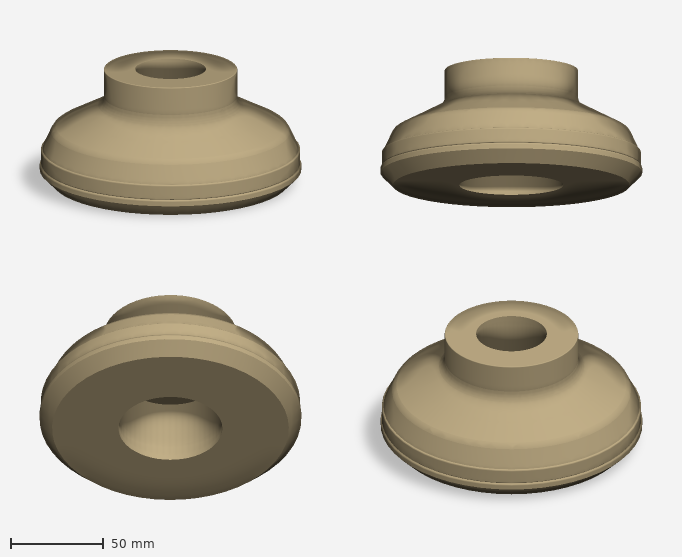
import cadquery as cq

total_height = 63.1
bore_radius = 38.1 / 2
bore_depth = 25.8
cavity_radius = 56.0 / 2

hub_radius = 72.0 / 2
hub_base_z = 44.5
hub_root_fillet = 5.6
hub_top_fillet = 0.4
shoulder_radius = 63.7
shoulder_z = 30.1
shoulder_fillet = 5.6
skirt_foot_radius = 68.6
skirt_foot_z = 19.5
rim_radius = 139.9 / 2
rim_top_z = 18.5
rim_top_fillet = 0.8
rim_bottom_fillet = 0.5
skirt_foot_run = 0.4

seal_height = 10.2
seal_radius = 141.2 / 2
seal_top_fillet = 1.0
seal_bevel_height = 6.8


def round_edge(body, radius, edge_radius, z):
    """Fillet the circular outer edge of the given radius and height."""
    margin = 0.01
    reach = edge_radius + margin
    box = cq.selectors.BoxSelector(
        (-reach, -reach, z - margin), (reach, reach, z + margin), boundingbox=True
    )
    return body.edges(box).edges(cq.selectors.RadiusNthSelector(-1)).fillet(radius)


def make_housing():
    cavity_top_z = total_height - bore_depth
    outline = [
        (cavity_radius, seal_height),
        (rim_radius, seal_height),
        (rim_radius, rim_top_z),
        (skirt_foot_radius + skirt_foot_run, rim_top_z),
        (skirt_foot_radius, skirt_foot_z),
        (shoulder_radius, shoulder_z),
        (hub_radius, hub_base_z),
        (hub_radius, total_height),
        (bore_radius, total_height),
        (bore_radius, cavity_top_z),
        (cavity_radius, cavity_top_z),
    ]
    body = cq.Workplane("XZ").polyline(outline).close().revolve(360, (0, 0), (0, 1))
    body = round_edge(body, hub_top_fillet, hub_radius, total_height)
    body = round_edge(body, hub_root_fillet, hub_radius, hub_base_z)
    body = round_edge(body, shoulder_fillet, shoulder_radius, shoulder_z)
    body = round_edge(body, rim_top_fillet, rim_radius, rim_top_z)
    return round_edge(body, rim_bottom_fillet, rim_radius, seal_height)


def make_seal():
    outline = [
        (cavity_radius, 0),
        (seal_radius - seal_bevel_height, 0),
        (seal_radius, seal_bevel_height),
        (seal_radius, seal_height),
        (cavity_radius, seal_height),
    ]
    body = cq.Workplane("XZ").polyline(outline).close().revolve(360, (0, 0), (0, 1))
    return round_edge(body, seal_top_fillet, seal_radius, seal_height)


housing = make_housing()
seal = make_seal()

result = cq.Compound.makeCompound([housing.val(), seal.val()])